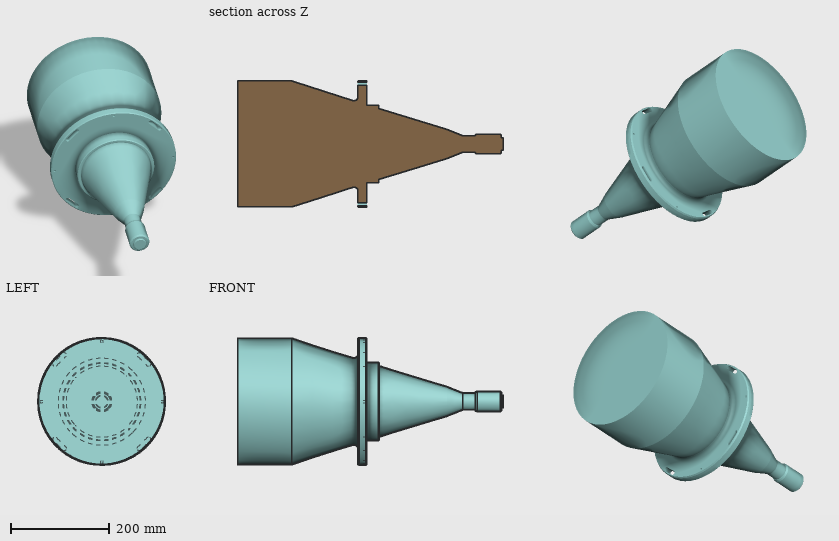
import cadquery as cq

total_length = 542.5
body_end = 110.5
rear_cone_end = 235.5
flange_start = 245.0
flange_end = 263.5
hub_end = 288.5
front_cone_end = 427.0
neck_start = 459.5
collar_start = 484.5
collar_end = 538.5

flange_radius = 129.9
body_radius = 129.0
waist_radius = 89.0
hub_radius = 79.5
front_cone_large_radius = 72.5
front_cone_small_radius = 30.5
neck_radius = 17.5
collar_radius = 20.5
tip_radius = 13.0

waist_fillet = 7.0
flange_front_chamfer = 1.5
flange_rear_chamfer_length = 3.0
flange_rear_chamfer_depth = 1.5
hub_chamfer = 1.5
collar_entry_step = 1.5
collar_entry_length = 4.5
collar_exit_chamfer = 2.5
tip_chamfer = 1.0

opening_count = 4
slot_circle_radius = 121.5
slot_length = 36.0
slot_width = 8.5
slot_first_angle = 45
pin_circle_radius = 123.0
pin_hole_diameter = 5.5


def turned_body():
    """Revolve the half profile around the X axis."""
    profile = (
        cq.Workplane("XY")
        .lineTo(0, body_radius)
        .lineTo(body_end, body_radius)
        .lineTo(rear_cone_end, waist_radius)
        .lineTo(flange_start - waist_fillet, waist_radius)
        .radiusArc((flange_start, waist_radius + waist_fillet), -waist_fillet)
        .lineTo(flange_start, flange_radius - flange_rear_chamfer_depth)
        .lineTo(flange_start + flange_rear_chamfer_length, flange_radius)
        .lineTo(flange_end - flange_front_chamfer, flange_radius)
        .lineTo(flange_end, flange_radius - flange_front_chamfer)
        .lineTo(flange_end, hub_radius)
        .lineTo(hub_end - hub_chamfer, hub_radius)
        .lineTo(hub_end, hub_radius - hub_chamfer)
        .lineTo(hub_end, front_cone_large_radius)
        .lineTo(front_cone_end, front_cone_small_radius)
        .lineTo(neck_start, neck_radius)
        .lineTo(collar_start, neck_radius)
        .lineTo(collar_start, collar_radius - collar_entry_step)
        .lineTo(collar_start + collar_entry_length, collar_radius)
        .lineTo(collar_end - collar_exit_chamfer, collar_radius)
        .lineTo(collar_end, collar_radius - collar_exit_chamfer)
        .lineTo(collar_end, tip_radius)
        .lineTo(total_length - tip_chamfer, tip_radius)
        .lineTo(total_length, tip_radius - tip_chamfer)
        .lineTo(total_length, 0)
        .close()
    )
    return profile.revolve(360, (0, 0, 0), (1, 0, 0))


def flange_face():
    """Workplane on the flange face nearest the large end, extruding toward +X."""
    return cq.Workplane("YZ", origin=(flange_start, 0, 0))


def flange_slots():
    """Tangential slots midway between the pin holes."""
    return (
        flange_face()
        .polarArray(slot_circle_radius, slot_first_angle, 360, opening_count)
        .slot2D(slot_length, slot_width, 90)
        .extrude(flange_end - flange_start)
    )


def pin_holes():
    """Small through holes on the Y and Z axes of the flange."""
    return (
        flange_face()
        .polarArray(pin_circle_radius, 0, 360, opening_count)
        .circle(pin_hole_diameter / 2)
        .extrude(flange_end - flange_start)
    )


result = turned_body().cut(flange_slots()).cut(pin_holes()).translate((-total_length / 2, 0, 0))